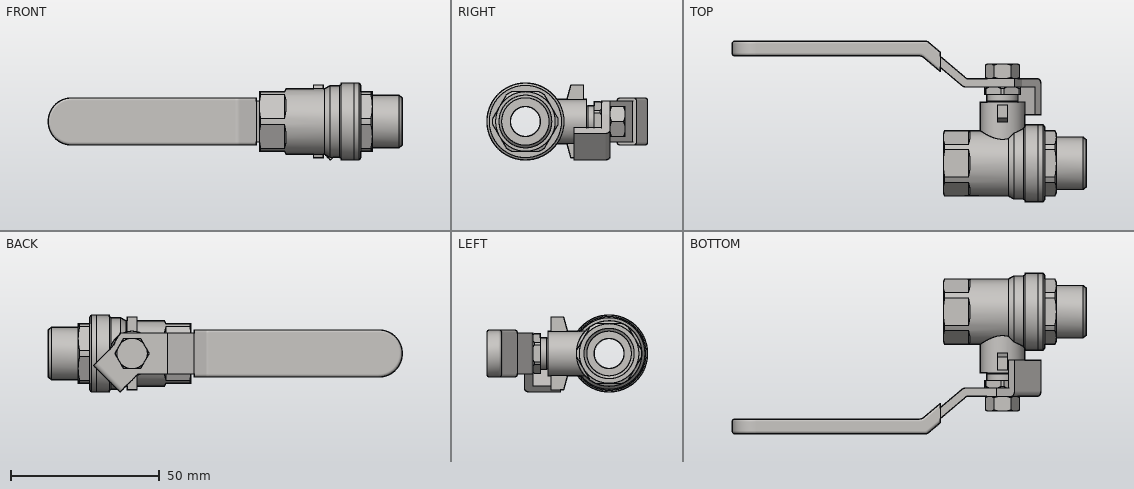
import cadquery as cq
import math


INLET_X = -19.9
INLET_HEX_END_X = -11.4
INLET_HEX_RUNOUT = 0.6
SHOULDER_X = 2.0
SHOULDER_CONE_END_X = 3.8
COLLAR_CONE_X = 7.0
COLLAR_X = 7.6
BODY_END_X = 11.9
CAP_CONE_X = 13.7
CAP_HEX_X = 14.3
CAP_HEX_END_X = 18.1
OUTLET_X = 28.2

BARREL_D = 22.0
WRENCH_FLATS = 20.0
SHOULDER_D = 24.0
COLLAR_CONE_D = 24.9
COLLAR_D = 26.0
CAP_SHOULDER_D = 24.3
TAIL_D = 17.7
TAIL_END_D = 16.0
TAIL_CHAMFER_LENGTH = 1.2
HEX_BEVEL_LENGTH = 0.5
PORT_D = 10.0
SOCKET_D = 15.0
SOCKET_DEPTH = 10.1
SOCKET_CHAMFER = 1.0

NECK_D = 15.0
NECK_TOP_Y = 20.6
LUG_WIDTH = 3.3
LUG_TOP_Y = 19.5
LUG_BASE_Y = 13.9
LUG_TIP_Y = 15.2
LUG_REACH = 12.3

GLAND_NECK_D = 10.6
GLAND_THREAD_D = 10.5
GLAND_THREAD_DEPTH = 4.8
GLAND_THREAD_TOP_Y = NECK_TOP_Y + 0.4
GLAND_HEX_Y = 23.1
GLAND_FLATS = 12.0
GLAND_HEX_D = 13.3
GLAND_FACE_D = 12.6

LEVER_THICKNESS = 2.9
LEVER_BOTTOM_Y = 25.6
LEVER_WIDTH = 13.8
LEVER_LOW_BEND_X = -12.5
LEVER_HIGH_BEND_X = -26.2
LEVER_RISE = 11.5
LEVER_BEND_RADIUS = 2.4
HEAD_EDGE_ANGLE = 60
ARM_ANGLE = 45
ARM_LENGTH = 12.0
ARM_WIDTH = 12.6
ARM_TAB_BOTTOM_Y = 16.3
ARM_BEND_RADIUS = 1.7

GRIP_WALL = 1.1
GRIP_TIP_X = -90.8
GRIP_END_X = -20.8
GRIP_EDGE_RADIUS = 1.0
GRIP_TOP_BEND_RADIUS = 1.3
GRIP_UNDERSIDE_BEND_RADIUS = 2.3

NUT_FLATS = 10.0
NUT_HEIGHT = 5.0
NUT_FACE_D = 10.2

BEVEL = 0.5

LEVER_MIDDLE_Y = LEVER_BOTTOM_Y + LEVER_THICKNESS / 2
LEVER_TOP_Y = LEVER_BOTTOM_Y + LEVER_THICKNESS
LEVER_HIGH_Y = LEVER_MIDDLE_Y + LEVER_RISE
LEVER_SLOPE = math.atan2(LEVER_RISE, LEVER_LOW_BEND_X - LEVER_HIGH_BEND_X)
GRIP_WIDTH = LEVER_WIDTH + 2 * GRIP_WALL
GRIP_THICKNESS = LEVER_THICKNESS + 2 * GRIP_WALL
TIP_CENTRE_X = GRIP_TIP_X + GRIP_WIDTH / 2


def across_corners(flats):
    return flats / math.cos(math.pi / 6)


def revolved_x(profile):
    """Turned solid about X from (x, radius) points that start and end on the axis."""
    return cq.Workplane("XY").polyline(profile).close().revolve(360, (0, 0, 0), (1, 0, 0))


def revolved_y(profile):
    """Turned solid about Y from (radius, y) points that start and end on the axis."""
    return cq.Workplane("XY").polyline(profile).close().revolve(360, (0, 0, 0), (0, 1, 0))


def hexagon_x(x_start, length, taper=0):
    """Pipe hexagon with corners towards +Y and -Y."""
    base = cq.Workplane("YZ", origin=(x_start, 0, 0))
    return base.polygon(6, across_corners(WRENCH_FLATS)).extrude(length, taper=taper)


def hexagon_y(y_start, height, flats):
    """Hexagon with corners towards +X and -X."""
    base = cq.Workplane("XZ", origin=(0, y_start, 0))
    return base.polygon(6, across_corners(flats)).extrude(-height)


def inlet_hexagon():
    """Hexagon with a bevelled front and flats that run out into the barrel."""
    runout_angle = math.degrees(math.atan2((BARREL_D - WRENCH_FLATS) / 2, INLET_HEX_RUNOUT))
    end_x = INLET_HEX_END_X + INLET_HEX_RUNOUT
    envelope = revolved_x([
        (INLET_X, 0),
        (INLET_X, WRENCH_FLATS / 2),
        (INLET_X + HEX_BEVEL_LENGTH, BARREL_D / 2),
        (end_x, BARREL_D / 2),
        (end_x, 0),
    ])
    prism = hexagon_x(INLET_X, INLET_HEX_END_X - INLET_X)
    runout = hexagon_x(INLET_HEX_END_X, INLET_HEX_RUNOUT, -runout_angle)
    return prism.union(runout).intersect(envelope)


def barrel():
    """Turned part of the body from the inlet hexagon to the end of the collar."""
    return revolved_x([
        (INLET_HEX_END_X + INLET_HEX_RUNOUT, 0),
        (INLET_HEX_END_X + INLET_HEX_RUNOUT, BARREL_D / 2),
        (SHOULDER_X, BARREL_D / 2),
        (SHOULDER_CONE_END_X, SHOULDER_D / 2),
        (COLLAR_CONE_X, SHOULDER_D / 2),
        (COLLAR_X, COLLAR_CONE_D / 2),
        (COLLAR_X, COLLAR_D / 2),
        (BODY_END_X, COLLAR_D / 2),
        (BODY_END_X, 0),
    ])


def neck():
    """Stem neck with the pair of tapered stop lugs."""
    post = cq.Workplane("XZ").circle(NECK_D / 2).extrude(-NECK_TOP_Y)
    lugs = (
        cq.Workplane("YZ")
        .polyline([
            (LUG_TOP_Y, -LUG_REACH),
            (LUG_TIP_Y, -LUG_REACH),
            (LUG_BASE_Y, -NECK_D / 2),
            (LUG_BASE_Y, NECK_D / 2),
            (LUG_TIP_Y, LUG_REACH),
            (LUG_TOP_Y, LUG_REACH),
        ])
        .close()
        .extrude(LUG_WIDTH / 2, both=True)
    )
    return post.union(lugs)


def body_bore():
    """Chamfered inlet socket followed by the port."""
    socket_end_x = INLET_X + SOCKET_DEPTH
    return revolved_x([
        (INLET_X, 0),
        (INLET_X, SOCKET_D / 2 + SOCKET_CHAMFER),
        (INLET_X + SOCKET_CHAMFER, SOCKET_D / 2),
        (socket_end_x, SOCKET_D / 2),
        (socket_end_x, PORT_D / 2),
        (BODY_END_X, PORT_D / 2),
        (BODY_END_X, 0),
    ])


def gland_hole():
    depth = GLAND_THREAD_DEPTH
    return cq.Workplane("XZ", origin=(0, NECK_TOP_Y, 0)).circle(GLAND_THREAD_D / 2).extrude(depth)


def make_body():
    return inlet_hexagon().union(barrel()).union(neck()).cut(body_bore()).cut(gland_hole())


def make_end_cap():
    """Flange flush with the body collar, then a hexagon and a chamfered tail."""
    flange = revolved_x([
        (BODY_END_X, 0),
        (BODY_END_X, COLLAR_D / 2),
        (CAP_CONE_X, COLLAR_D / 2),
        (CAP_HEX_X, CAP_SHOULDER_D / 2),
        (CAP_HEX_X, 0),
    ])
    envelope = revolved_x([
        (CAP_HEX_X, 0),
        (CAP_HEX_X, BARREL_D / 2),
        (CAP_HEX_END_X - HEX_BEVEL_LENGTH, BARREL_D / 2),
        (CAP_HEX_END_X, WRENCH_FLATS / 2),
        (CAP_HEX_END_X, 0),
    ])
    hexagon = hexagon_x(CAP_HEX_X, CAP_HEX_END_X - CAP_HEX_X).intersect(envelope)
    tail = revolved_x([
        (CAP_HEX_END_X, 0),
        (CAP_HEX_END_X, TAIL_D / 2),
        (OUTLET_X - TAIL_CHAMFER_LENGTH, TAIL_D / 2),
        (OUTLET_X, TAIL_END_D / 2),
        (OUTLET_X, 0),
    ])
    port = cq.Workplane("YZ", origin=(BODY_END_X, 0, 0)).circle(PORT_D / 2).extrude(OUTLET_X - BODY_END_X)
    return flange.union(hexagon).union(tail).cut(port)


def make_gland():
    """Gland with a bevelled hexagon turned so that two flats face +X and -X."""
    thread_bottom_y = NECK_TOP_Y - GLAND_THREAD_DEPTH
    shank = revolved_y([
        (0, thread_bottom_y),
        (GLAND_THREAD_D / 2, thread_bottom_y),
        (GLAND_THREAD_D / 2, GLAND_THREAD_TOP_Y),
        (GLAND_NECK_D / 2, GLAND_THREAD_TOP_Y),
        (GLAND_NECK_D / 2, GLAND_HEX_Y),
        (0, GLAND_HEX_Y),
    ])
    envelope = revolved_y([
        (0, GLAND_HEX_Y),
        (GLAND_HEX_D / 2, GLAND_HEX_Y),
        (GLAND_HEX_D / 2, LEVER_BOTTOM_Y - BEVEL),
        (GLAND_FACE_D / 2, LEVER_BOTTOM_Y),
        (0, LEVER_BOTTOM_Y),
    ])
    hexagon = hexagon_y(GLAND_HEX_Y, LEVER_BOTTOM_Y - GLAND_HEX_Y, GLAND_FLATS)
    hexagon = hexagon.rotate((0, 0, 0), (0, 1, 0), 30)
    return shank.union(hexagon.intersect(envelope))


def bend_mitre(thickness):
    """X distance from a bend of the middle line to the bend in either face of the strip."""
    return thickness / 2 * math.tan(LEVER_SLOPE / 2)


def round_bend(strip, x, y, radius):
    """Round the one cross edge of a cranked strip that lies at (x, y)."""
    return strip.edges(cq.NearestToPointSelector((x, y, 0))).fillet(radius)


def cranked_strip(tip_x, end_x, width, thickness):
    """Strip that follows the cranked middle line of the lever and has a full-round tip."""
    mitre = bend_mitre(thickness)
    slope_half_height = thickness / 2 / math.cos(LEVER_SLOPE)
    if end_x > LEVER_LOW_BEND_X:
        upper_end = [
            (LEVER_LOW_BEND_X + mitre, LEVER_TOP_Y),
            (end_x, LEVER_TOP_Y),
        ]
        lower_end = [
            (end_x, LEVER_BOTTOM_Y),
            (LEVER_LOW_BEND_X - mitre, LEVER_BOTTOM_Y),
        ]
    else:
        slope_y = LEVER_MIDDLE_Y + (LEVER_LOW_BEND_X - end_x) * math.tan(LEVER_SLOPE)
        upper_end = [(end_x, slope_y + slope_half_height)]
        lower_end = [(end_x, slope_y - slope_half_height)]
    profile = [
        (tip_x, LEVER_HIGH_Y + thickness / 2),
        (LEVER_HIGH_BEND_X + mitre, LEVER_HIGH_Y + thickness / 2),
        *upper_end,
        *lower_end,
        (LEVER_HIGH_BEND_X - mitre, LEVER_HIGH_Y - thickness / 2),
        (tip_x, LEVER_HIGH_Y - thickness / 2),
    ]
    strip = cq.Workplane("XY").polyline(profile).close().extrude(width / 2, both=True)
    plan = (
        cq.Workplane("XZ")
        .moveTo(end_x, width / 2)
        .lineTo(TIP_CENTRE_X, width / 2)
        .threePointArc((tip_x, 0), (TIP_CENTRE_X, -width / 2))
        .lineTo(end_x, -width / 2)
        .close()
        .extrude(-(LEVER_HIGH_Y + thickness))
    )
    return strip.intersect(plan)


def lever_head():
    """Flat lever end around the stem; its cut edge is as far from the stem axis as the long edges."""
    half_width = LEVER_WIDTH / 2
    angle = math.radians(HEAD_EDGE_ANGLE)
    edge_start_x = half_width * math.tan(angle / 2)
    arm = math.radians(ARM_ANGLE)
    spread = math.sin(angle - arm)
    corner_x = (half_width * math.cos(arm) - ARM_WIDTH / 2 * math.cos(angle)) / spread
    corner_z = (ARM_WIDTH / 2 * math.sin(angle) - half_width * math.sin(arm)) / spread
    return (
        cq.Workplane("XZ", origin=(0, LEVER_BOTTOM_Y, 0))
        .polyline([
            (-half_width, half_width),
            (edge_start_x, half_width),
            (corner_x, corner_z),
            (0, -half_width),
            (-half_width, -half_width),
        ])
        .close()
        .extrude(-LEVER_THICKNESS)
    )


def stop_arm():
    """Arm that leaves the lever diagonally and bends down to meet the stop lugs."""
    tab_inner = ARM_LENGTH - LEVER_THICKNESS
    arm = (
        cq.Workplane("XY")
        .moveTo(0, LEVER_BOTTOM_Y)
        .lineTo(0, LEVER_TOP_Y)
        .lineTo(ARM_LENGTH - ARM_BEND_RADIUS, LEVER_TOP_Y)
        .radiusArc((ARM_LENGTH, LEVER_TOP_Y - ARM_BEND_RADIUS), ARM_BEND_RADIUS)
        .lineTo(ARM_LENGTH, ARM_TAB_BOTTOM_Y)
        .lineTo(tab_inner, ARM_TAB_BOTTOM_Y)
        .lineTo(tab_inner, LEVER_BOTTOM_Y)
        .close()
        .extrude(ARM_WIDTH / 2, both=True)
    )
    return arm.rotate((0, 0, 0), (0, 1, 0), ARM_ANGLE)


def lever_strip():
    strip = cranked_strip(GRIP_TIP_X + GRIP_WALL, -LEVER_WIDTH / 2, LEVER_WIDTH, LEVER_THICKNESS)
    bend_x = LEVER_LOW_BEND_X - bend_mitre(LEVER_THICKNESS)
    return round_bend(strip, bend_x, LEVER_BOTTOM_Y, LEVER_BEND_RADIUS)


def make_lever():
    return lever_strip().union(lever_head()).union(stop_arm())


def make_grip():
    """Sleeve of even wall around the lever, with rounded long edges."""
    sleeve = cranked_strip(GRIP_TIP_X, GRIP_END_X, GRIP_WIDTH, GRIP_THICKNESS)
    mitre = bend_mitre(GRIP_THICKNESS)
    top_y = LEVER_HIGH_Y + GRIP_THICKNESS / 2
    underside_y = LEVER_HIGH_Y - GRIP_THICKNESS / 2
    sleeve = round_bend(sleeve, LEVER_HIGH_BEND_X + mitre, top_y, GRIP_TOP_BEND_RADIUS)
    sleeve = round_bend(sleeve, LEVER_HIGH_BEND_X - mitre, underside_y, GRIP_UNDERSIDE_BEND_RADIUS)
    sleeve = sleeve.edges("not(|Y or |Z)").fillet(GRIP_EDGE_RADIUS)
    return sleeve.cut(lever_strip())


def make_nut():
    """Hexagon nut bevelled at both ends."""
    corner_radius = across_corners(NUT_FLATS) / 2
    top_y = LEVER_TOP_Y + NUT_HEIGHT
    envelope = revolved_y([
        (0, LEVER_TOP_Y),
        (NUT_FACE_D / 2, LEVER_TOP_Y),
        (corner_radius, LEVER_TOP_Y + BEVEL),
        (corner_radius, top_y - BEVEL),
        (NUT_FACE_D / 2, top_y),
        (0, top_y),
    ])
    return hexagon_y(LEVER_TOP_Y, NUT_HEIGHT, NUT_FLATS).intersect(envelope)


body = make_body()
end_cap = make_end_cap()
gland = make_gland()
lever = make_lever()
grip = make_grip()
nut = make_nut()

result = cq.Compound.makeCompound([
    body.val(),
    end_cap.val(),
    gland.val(),
    lever.val(),
    grip.val(),
    nut.val(),
])